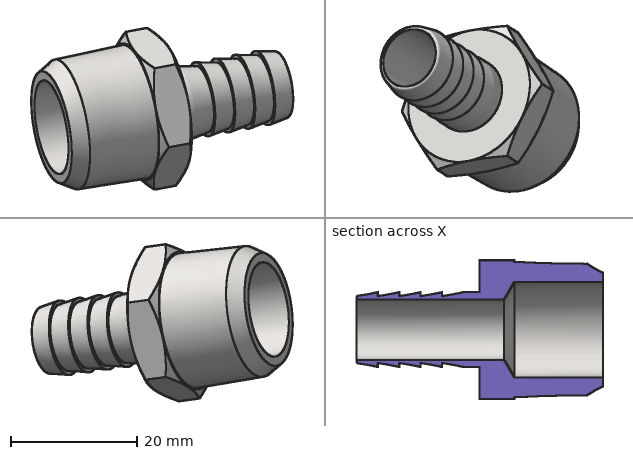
import cadquery as cq
import math

total_length = 39.0

thread_length = 14.05
thread_end_radius = 10.45
thread_base_radius = 10.75
lead_in_length = 2.55
lead_in_radius = 9.0

hex_width = 22.0
hex_thickness = 5.55
hex_end = thread_length + hex_thickness
hex_chamfer_angle = 30.0

barb_count = 5
barb_start = 22.07
barb_radius = 5.95
barb_root_radius = 5.35
barb_pitch = (total_length - barb_start) / barb_count
tip_rounding = 0.4

through_radius = 4.75
wide_bore_radius = 7.53
wide_bore_depth = thread_length
bore_cone_angle = 30.0


def revolve_profile(points):
    """Revolve a closed (radius, Y) outline about the Y axis."""
    return cq.Workplane("XY").polyline(points).close().revolve(360, (0, 0, 0), (0, 1, 0))


def make_thread_end():
    return revolve_profile([
        (0, 0),
        (lead_in_radius, 0),
        (thread_end_radius, lead_in_length),
        (thread_base_radius, thread_length),
        (0, thread_length),
    ])


def make_hexagon():
    """Hexagon with corners on X, both faces chamfered by a cone."""
    corner_radius = hex_width / math.sqrt(3)
    face_radius = hex_width / 2
    chamfer_drop = (corner_radius - face_radius) * math.tan(math.radians(hex_chamfer_angle))
    prism = (
        cq.Workplane("XZ", origin=(0, hex_end, 0))
        .polygon(6, 2 * corner_radius)
        .extrude(hex_thickness)
    )
    chamfer_envelope = revolve_profile([
        (0, thread_length),
        (face_radius, thread_length),
        (corner_radius, thread_length + chamfer_drop),
        (corner_radius, hex_end - chamfer_drop),
        (face_radius, hex_end),
        (0, hex_end),
    ])
    return prism.intersect(chamfer_envelope)


def make_hose_tail():
    """Straight collar followed by barbs that narrow toward the tip."""
    points = [(0, hex_end), (barb_radius, hex_end)]
    for index in range(barb_count):
        start = barb_start + index * barb_pitch
        points.append((barb_radius, start))
        points.append((barb_root_radius, start + barb_pitch))
    points.append((0, total_length))
    return revolve_profile(points).faces(">Y").edges().fillet(tip_rounding)


def make_bore():
    """Wide bore from the threaded end, coned down to the through hole."""
    cone_length = (wide_bore_radius - through_radius) * math.tan(math.radians(bore_cone_angle))
    return revolve_profile([
        (0, 0),
        (wide_bore_radius, 0),
        (wide_bore_radius, wide_bore_depth),
        (through_radius, wide_bore_depth + cone_length),
        (through_radius, total_length),
        (0, total_length),
    ])


result = make_thread_end().union(make_hexagon()).union(make_hose_tail()).cut(make_bore())